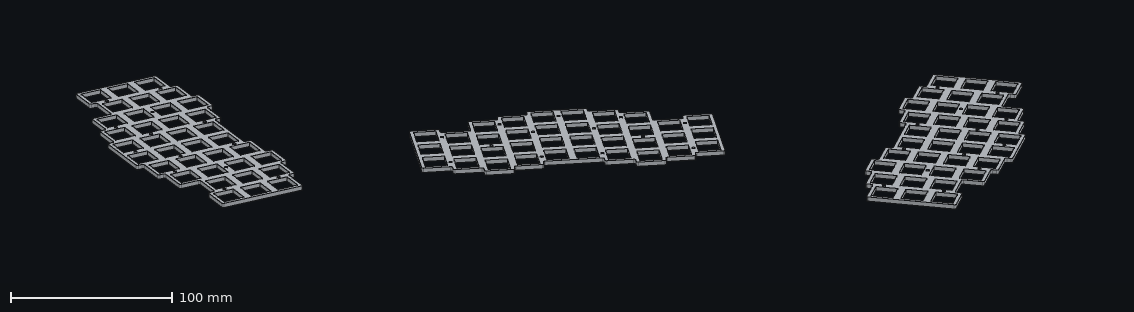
import cadquery as cq

pitch = 19.0
stagger = pitch / 4
thickness = 3.0
cutout = 14.0
screw_diameter = 2.0
corner_radius = 1.1

left_columns = [
    (2 * stagger, 3),
    (stagger, 3),
    (0.0, 4),
    (stagger, 4),
    (2 * stagger, 4),
]
columns = left_columns + left_columns[::-1]

side_screws = [(0, 0), (0, 2), (2, 3), (3, 0), (3, 2)]
center_screw = (4, 3)
key_above_screw = (2, 1)

plate_width = len(columns) * pitch
plate_depth = max(drop + keys * pitch for drop, keys in columns)


def key_center(column, row):
    drop = columns[column][0]
    x = -plate_width / 2 + (column + 0.5) * pitch
    y = plate_depth / 2 - drop - (row + 0.5) * pitch
    return x, y


def all_key_centers():
    return [
        key_center(column, row)
        for column, (_, keys) in enumerate(columns)
        for row in range(keys)
    ]


def beside_key(column, row):
    """Midpoint between a key and the key of the same row in the next column."""
    x1, y1 = key_center(column, row)
    x2, y2 = key_center(column + 1, row)
    return (x1 + x2) / 2, (y1 + y2) / 2


def below_key(column, row):
    """Midpoint between a key and the next key down its column."""
    x, y = key_center(column, row)
    return x, y - pitch / 2


def screw_centers():
    left = [beside_key(column, row) for column, row in side_screws]
    left.append(below_key(*key_above_screw))
    right = [(-x, y) for x, y in left]
    return left + right + [beside_key(*center_screw)]


def make_blank():
    """Solid plate: one pitch-square tile per key, merged, with rounded corners."""
    tiles = cq.Workplane("XY").pushPoints(all_key_centers()).rect(pitch, pitch).extrude(thickness)
    return tiles.clean().edges("|Z").fillet(corner_radius)


def make_openings():
    return cq.Workplane("XY").pushPoints(all_key_centers()).rect(cutout, cutout).extrude(thickness)


def make_screw_holes():
    return cq.Workplane("XY").pushPoints(screw_centers()).circle(screw_diameter / 2).extrude(thickness)


result = make_blank().cut(make_openings()).cut(make_screw_holes())